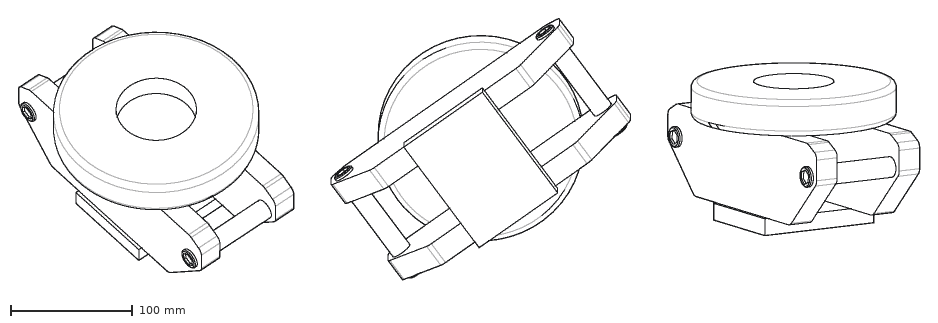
import cadquery as cq

base_height = 14.2
plate_height = 73.2
disc_height = 30.5
plate_top = base_height + plate_height

base_length = 80.0
base_width = 106.0

plate_length = 232.2
plate_thickness = 20.0
plate_outer_width = 100.0
bevel_run = 14.5
bevel_drop = 7.7
lower_corner_drop = 31.8
plate_corner_radius = 6.7

disc_diameter = 169.3
disc_edge_radius = 4.9
recess_diameter = 66.2
recess_depth = 20.0

pin_diameter = 17.2
pin_length = 106.0
pin_offset = 102.5
pin_drop = 27.9
pin_edge_chamfer = 1.0
socket_diameter = 12.3
socket_depth = 2.0
socket_turn = 6.0


def make_plate(side):
    """Side plate; side is -1 for the -Y plate and +1 for the +Y plate."""
    half_length = plate_length / 2
    half_bottom = half_length - (plate_height - lower_corner_drop)
    right_half = [
        (half_bottom, base_height),
        (half_length, plate_top - lower_corner_drop),
        (half_length, plate_top - bevel_drop),
        (half_length - bevel_run, plate_top),
    ]
    left_half = [(-x, z) for x, z in reversed(right_half)]
    center_y = side * (plate_outer_width - plate_thickness) / 2
    return (
        cq.Workplane("XZ", origin=(0, center_y, 0))
        .polyline(right_half + left_half)
        .close()
        .extrude(plate_thickness / 2, both=True)
        .edges("|Y")
        .fillet(plate_corner_radius)
    )


def make_disc():
    return (
        cq.Workplane("XY", origin=(0, 0, plate_top))
        .circle(disc_diameter / 2)
        .extrude(disc_height)
        .edges()
        .fillet(disc_edge_radius)
        .faces(">Z")
        .workplane()
        .hole(recess_diameter, recess_depth)
    )


def make_pin(x):
    return (
        cq.Workplane("XZ", origin=(x, 0, plate_top - pin_drop))
        .circle(pin_diameter / 2)
        .extrude(pin_length / 2, both=True)
        .faces("<Y or >Y")
        .chamfer(pin_edge_chamfer)
    )


def make_sockets(x):
    """Hexagonal cutters for both ends of a pin."""
    hexagon = (
        cq.Workplane("XZ")
        .transformed(rotate=(0, 0, 90 + socket_turn))
        .polygon(6, socket_diameter)
        .extrude(socket_depth)
        .translate((x, 0, plate_top - pin_drop))
    )
    front = hexagon.translate((0, socket_depth - pin_length / 2, 0))
    return front.union(front.mirror("XZ"))


result = cq.Workplane("XY").box(base_length, base_width, base_height, centered=(True, True, False))
for side in (-1, 1):
    result = result.union(make_plate(side))
result = result.union(make_disc())
for x in (-pin_offset, pin_offset):
    result = result.union(make_pin(x)).cut(make_sockets(x))